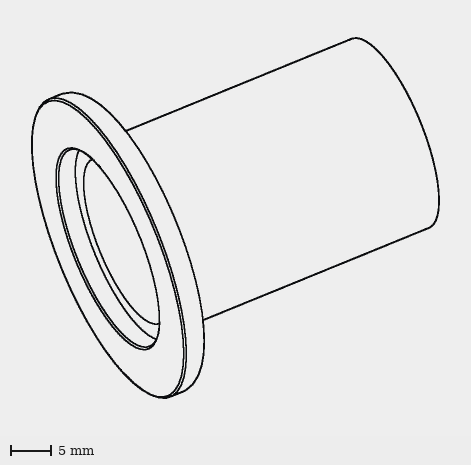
import cadquery as cq
import math

flange_radius = 20.0
length = 40.0
tube_radius = 12.7
bore_radius = 11.05
recess_radius = 13.2
recess_depth = 2.6
recess_chamfer = 0.25
rim_chamfer = 0.25
taper_angle = 15.0
neck_height = 5.0
rim_fillet = 1.5

front_y = -length / 2
back_y = length / 2
neck_y = front_y + neck_height
taper_drop = (flange_radius - tube_radius) * math.tan(math.radians(taper_angle))
rim_y = neck_y - taper_drop

turn = math.radians(90 - taper_angle)
setback = rim_fillet * math.tan(turn / 2)
arc_radius = flange_radius - rim_fillet
arc_y = rim_y - setback


def rim_arc_point(angle):
    return (arc_radius + rim_fillet * math.cos(angle), arc_y + rim_fillet * math.sin(angle))


body = (
    cq.Workplane("XY")
    .moveTo(recess_radius + recess_chamfer, front_y)
    .lineTo(flange_radius - rim_chamfer, front_y)
    .lineTo(flange_radius, front_y + rim_chamfer)
    .lineTo(flange_radius, arc_y)
    .threePointArc(rim_arc_point(turn / 2), rim_arc_point(turn))
    .lineTo(tube_radius, neck_y)
    .lineTo(tube_radius, back_y)
    .lineTo(bore_radius, back_y)
    .lineTo(bore_radius, front_y + recess_depth)
    .lineTo(recess_radius, front_y + recess_depth)
    .lineTo(recess_radius, front_y + recess_chamfer)
    .close()
)
result = body.revolve(360, (0, 0, 0), (0, 1, 0))